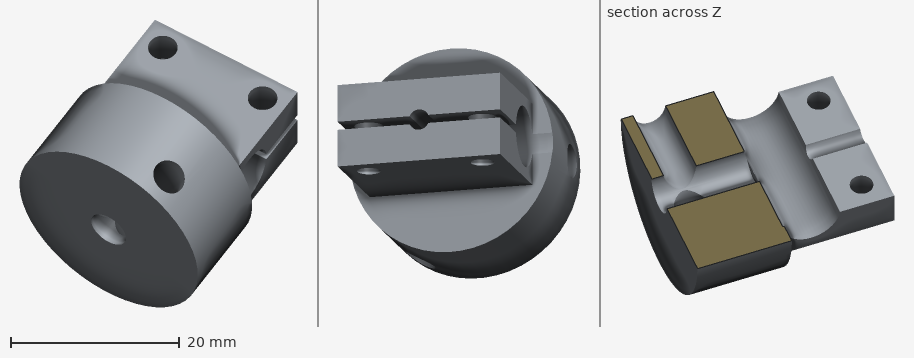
import cadquery as cq

total_length = 26.0
hub_diameter = 25.0
hub_length = 12.0
hub_bore_diameter = 4.9

set_screw_diameter = 4.1
set_screw_count = 3
set_screw_from_front = 3.6

clamp_width = 20.0
clamp_height = 10.0
clamp_slot = 1.0
cross_bore_diameter = 7.33
cross_bore_from_hub = 3.45
center_hole_diameter = 2.5

clamp_screw_spacing = 14.0
clamp_screw_from_end = 3.0
clearance_diameter = 3.5
thread_diameter = 2.8

clamp_length = total_length - hub_length
cross_bore_y = hub_length + cross_bore_from_hub
clamp_screw_y = total_length - clamp_screw_from_end


def cylinder(diameter, length, start, direction):
    """Solid cylinder from a start point along a direction."""
    return cq.Workplane(
        cq.Solid.makeCylinder(diameter / 2, length, cq.Vector(*start), cq.Vector(*direction))
    )


def block(width, height, y_start, y_end):
    """Box centred on the Y axis."""
    return cq.Workplane().box(width, y_end - y_start, height).translate((0, (y_start + y_end) / 2, 0))


hub = cylinder(hub_diameter, hub_length, (0, 0, 0), (0, 1, 0))
clamp = block(clamp_width, clamp_height, hub_length, total_length)
result = hub.union(clamp)

result = result.cut(cylinder(hub_bore_diameter, hub_length, (0, 0, 0), (0, 1, 0)))
result = result.cut(cylinder(center_hole_diameter, clamp_length, (0, hub_length, 0), (0, 1, 0)))

cross_bore_length = hub_diameter / 2 + clamp_width / 2
result = result.cut(
    cylinder(cross_bore_diameter, cross_bore_length, (-hub_diameter / 2, cross_bore_y, 0), (1, 0, 0))
)

result = result.cut(block(clamp_width, clamp_slot, cross_bore_y, total_length))

set_screw_hole = cylinder(set_screw_diameter, hub_diameter, (0, set_screw_from_front, 0), (-1, 0, 0))
for index in range(set_screw_count):
    angle = index * 360 / set_screw_count
    result = result.cut(set_screw_hole.rotate((0, 0, 0), (0, 1, 0), angle))

for side in (-1, 1):
    screw_start = (side * clamp_screw_spacing / 2, clamp_screw_y, 0)
    result = result.cut(cylinder(clearance_diameter, clamp_height, screw_start, (0, 0, 1)))
    result = result.cut(cylinder(thread_diameter, clamp_height, screw_start, (0, 0, -1)))